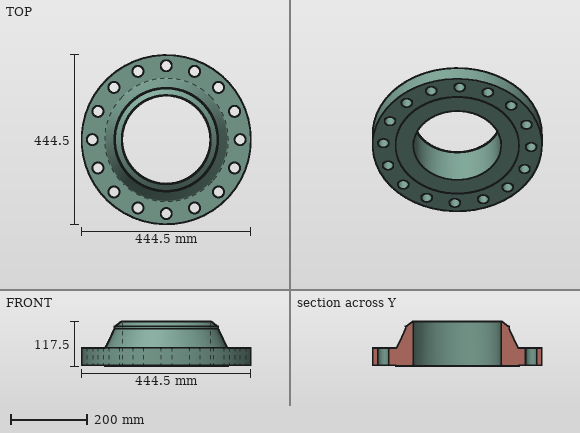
import cadquery as cq
import math

flange_diameter = 444.5
flange_thickness = 45.8
raised_face_diameter = 324.0
raised_face_height = 1.6

total_height = 117.5
bore_diameter = 230.0
collar_diameter = 273.0
collar_height = 6.0
shelf_width = 2.45
shelf_drop = 0.5
weld_land_width = 2.0
bevel_angle = 37.5
hub_base_diameter = 320.5
hub_root_radius = 3.0

bolt_count = 16
bolt_circle_diameter = 387.5
bolt_hole_diameter = 28.5

flange_top = raised_face_height + flange_thickness
land_radius = bore_diameter / 2 + weld_land_width
shelf_radius = collar_diameter / 2 - shelf_width
bevel_height = (shelf_radius - land_radius) * math.tan(math.radians(bevel_angle))
shelf_top = total_height - bevel_height
collar_top = shelf_top - shelf_drop
collar_bottom = collar_top - collar_height


def make_disc():
    """Flange disc with the raised sealing face underneath."""
    raised_face = cq.Workplane("XY").circle(raised_face_diameter / 2).extrude(raised_face_height)
    disc = (
        cq.Workplane("XY")
        .workplane(offset=raised_face_height)
        .circle(flange_diameter / 2)
        .extrude(flange_thickness)
    )
    return disc.union(raised_face)


def make_neck():
    """Revolved neck: tapered hub, straight collar, nearly flat shelf and weld bevel."""
    return (
        cq.Workplane("XZ")
        .moveTo(0, raised_face_height)
        .lineTo(hub_base_diameter / 2, raised_face_height)
        .lineTo(hub_base_diameter / 2, flange_top)
        .lineTo(collar_diameter / 2, collar_bottom)
        .lineTo(collar_diameter / 2, collar_top)
        .lineTo(shelf_radius, shelf_top)
        .lineTo(land_radius, total_height)
        .lineTo(0, total_height)
        .close()
        .revolve(360, (0, 0, 0), (0, 1, 0))
    )


def fillet_hub_root(body):
    """Round the corner where the hub meets the top of the disc."""
    margin = 0.5
    reach = hub_base_diameter / 2 + margin
    root_edge = cq.selectors.BoxSelector(
        (-reach, -reach, flange_top - margin),
        (reach, reach, flange_top + margin),
        boundingbox=True,
    )
    return body.edges(root_edge).fillet(hub_root_radius)


def make_bore():
    return cq.Workplane("XY").circle(bore_diameter / 2).extrude(total_height)


def make_bolt_holes():
    return (
        cq.Workplane("XY")
        .polarArray(bolt_circle_diameter / 2, 0, 360, bolt_count)
        .circle(bolt_hole_diameter / 2)
        .extrude(flange_top)
    )


body = fillet_hub_root(make_disc().union(make_neck()))
result = body.cut(make_bore()).cut(make_bolt_holes())